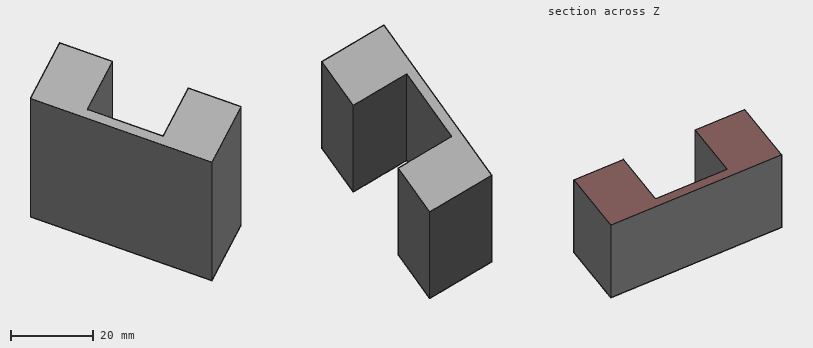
import cadquery as cq

width = 48.0
depth = 18.0
height = 50.0

channel_width = 20.0
web_thickness = 2.5
channel_depth = depth - web_thickness

block = cq.Workplane("XY").box(width, depth, height)

channel = (
    cq.Workplane("XY")
    .box(channel_width, channel_depth, height)
    .translate((0, web_thickness / 2, 0))
)

result = block.cut(channel)